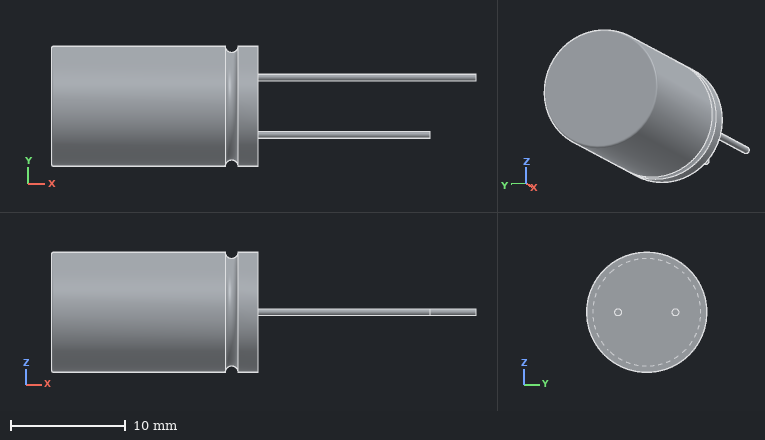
import cadquery as cq
import math


overall_length = 37.01
can_diameter = 10.5
rim_fillet = 0.2

groove_radius = 0.55
groove_center_x = -2.3

lead_diameter = 0.6
lead_pitch = 5.0
long_lead_length = 19.0
short_lead_length = 15.0

can_length = overall_length - long_lead_length
can_radius = can_diameter / 2


def make_can():
    """Solid of revolution with a rounded closed end and a half-round crimp groove."""
    closed_x = -can_length
    fillet_mid_offset = rim_fillet * (1 - math.sqrt(0.5))
    groove_floor = can_radius - groove_radius
    quarter_mid = groove_radius * math.sqrt(0.5)
    half_profile = (
        cq.Workplane("XZ")
        .moveTo(closed_x, 0)
        .lineTo(closed_x, can_radius - rim_fillet)
        .threePointArc(
            (closed_x + fillet_mid_offset, can_radius - fillet_mid_offset),
            (closed_x + rim_fillet, can_radius),
        )
        .lineTo(groove_center_x - groove_radius, can_radius)
        .threePointArc(
            (groove_center_x - quarter_mid, can_radius - quarter_mid),
            (groove_center_x, groove_floor),
        )
        .threePointArc(
            (groove_center_x + quarter_mid, can_radius - quarter_mid),
            (groove_center_x + groove_radius, can_radius),
        )
        .lineTo(0, can_radius)
        .lineTo(0, 0)
        .close()
    )
    return half_profile.revolve(360, (0, 0, 0), (1, 0, 0))


def make_lead(y, length):
    """Straight round wire that starts on the lead end face of the can."""
    return cq.Workplane("YZ").center(y, 0).circle(lead_diameter / 2).extrude(length)


can = make_can()

lead_layout = [
    (lead_pitch / 2, long_lead_length),
    (-lead_pitch / 2, short_lead_length),
]
leads = [make_lead(y, length) for y, length in lead_layout]

result = cq.Compound.makeCompound([can.val(), *[lead.val() for lead in leads]])